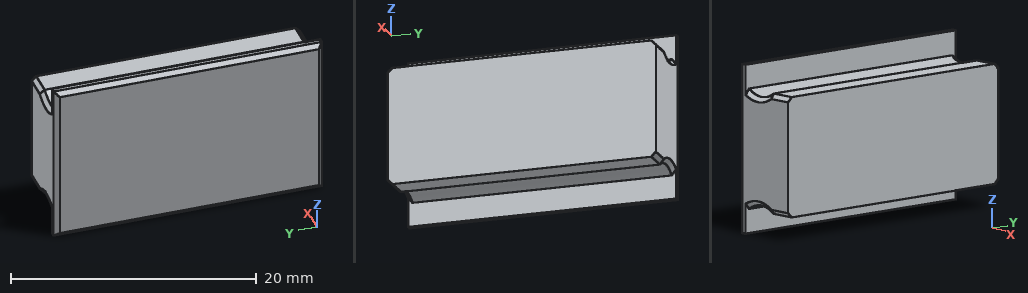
import cadquery as cq
import math

length = 23.05
height = 14.0
plate_thickness = 0.8
bevel = 0.4

depth = 5.97
body_height = 9.95

groove_end = 3.8
groove_depth = 0.48
groove_center_x = 2.3
half_chord = groove_end - groove_center_x
groove_radius = (half_chord**2 + groove_depth**2) / (2 * groove_depth)


def make_plate():
    """Rectangular plate with its front rim bevelled."""
    plate = cq.Workplane("XY").box(plate_thickness, length, height, centered=(False, True, True))
    return plate.faces("<X").edges().chamfer(bevel)


def make_body():
    """Grooved block with the end edges of its top and bottom bevelled."""
    half_height = body_height / 2
    groove_floor = half_height - groove_depth
    start_offset = groove_center_x - plate_thickness
    arc_rise = groove_radius - math.sqrt(groove_radius**2 - start_offset**2)
    start_z = groove_floor + arc_rise
    body = (
        cq.Workplane("XZ")
        .moveTo(plate_thickness, -start_z)
        .lineTo(plate_thickness, start_z)
        .threePointArc((groove_center_x, groove_floor), (groove_end, half_height))
        .lineTo(depth, half_height)
        .lineTo(depth, -half_height)
        .lineTo(groove_end, -half_height)
        .threePointArc((groove_center_x, -groove_floor), (plate_thickness, -start_z))
        .close()
        .extrude(length / 2, both=True)
    )
    return body.faces("<Y or >Y").edges("not |Z").chamfer(bevel)


result = make_plate().union(make_body())